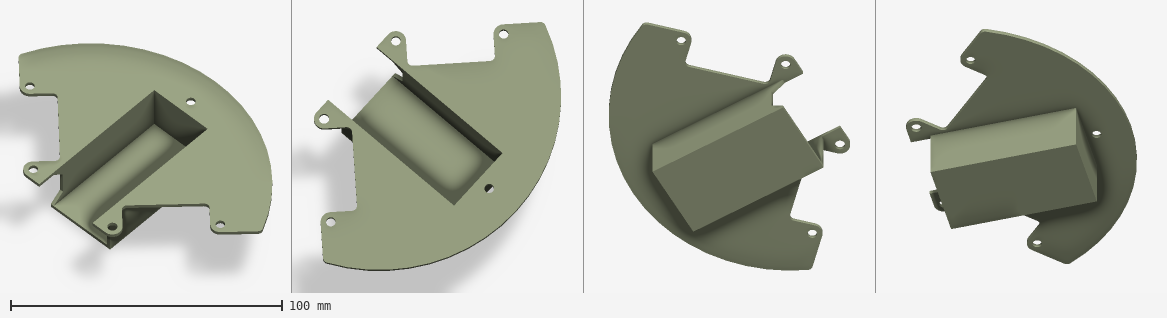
import cadquery as cq
import math

total_height = 21.0
sheet = 1.5
plate_bottom = total_height - sheet

rim_radius = 67.0
depth = 80.24
plate_front = rim_radius - depth
lobe_radius = 3.75
side_hole_x = 48.2
side_hole_y = 18.6
foot_hole_x = 20.0
foot_hole_y = plate_front + lobe_radius
waist_offset = 15.4
inner_corner_radius = 2.0
rim_corner_radius = 2.0

hole_diameter = 3.5
large_hole_diameter = 3.75
top_hole_y = 53.9

tray_inner_width = 27.0
tray_inner_length = 54.0
tray_setback = 7.8
tray_front = plate_front + tray_setback
tray_back = tray_front + tray_inner_length
tray_outer_width = tray_inner_width + 2 * sheet

notch_depth = 5.0
notch_taper = 4.0

lobe_reach = lobe_radius * math.sqrt(2)


def diagonal_crossing(difference, total):
    """Point where the 45 degree lines X - Y = difference and X + Y = total meet."""
    return ((total + difference) / 2, (total - difference) / 2)


def half_plate():
    """+X half of the plate: sharp outline first, then its corners rounded."""
    outer_edge = side_hole_x - side_hole_y + lobe_reach
    lobe_edge = side_hole_x + side_hole_y - lobe_reach
    foot_edge = foot_hole_x + foot_hole_y + lobe_reach

    rim_sum = math.sqrt(2 * rim_radius**2 - outer_edge**2)
    rim_corner = diagonal_crossing(outer_edge, rim_sum)
    rim_middle_angle = (math.pi / 2 + math.atan2(rim_corner[1], rim_corner[0])) / 2
    rim_middle = (
        rim_radius * math.cos(rim_middle_angle),
        rim_radius * math.sin(rim_middle_angle),
    )
    lobe_tip = diagonal_crossing(outer_edge, lobe_edge)
    armpit = diagonal_crossing(waist_offset, lobe_edge)
    waist = diagonal_crossing(waist_offset, foot_edge)
    foot_tip = (foot_edge - plate_front, plate_front)

    plate = (
        cq.Workplane("XY", origin=(0, 0, plate_bottom))
        .moveTo(0, rim_radius)
        .threePointArc(rim_middle, rim_corner)
        .lineTo(*lobe_tip)
        .lineTo(*armpit)
        .lineTo(*waist)
        .lineTo(*foot_tip)
        .lineTo(0, plate_front)
        .close()
        .extrude(sheet)
    )
    rounded_corners = (
        (rim_corner, rim_corner_radius),
        (lobe_tip, lobe_radius),
        (armpit, inner_corner_radius),
        (waist, inner_corner_radius),
        (foot_tip, lobe_radius),
    )
    for corner, radius in rounded_corners:
        nearest = cq.selectors.NearestToPointSelector((*corner, plate_bottom + sheet / 2))
        plate = plate.edges("|Z").edges(nearest).fillet(radius)
    return plate


def tray_block():
    """Solid outer shape of the tray, up to the plate's top face."""
    return cq.Workplane("XY").box(
        tray_outer_width, tray_inner_length + sheet, total_height, centered=(True, False, False)
    ).translate((0, tray_front, 0))


def tray_cavity():
    """Inside of the tray, running out through the front edge of the plate."""
    return cq.Workplane("XY").box(
        tray_inner_width, tray_back - plate_front, total_height - sheet, centered=(True, False, False)
    ).translate((0, plate_front, sheet))


def wall_notch():
    """Trapezoid cut through the -X wall, from the tray floor up to the plate."""
    notch_bottom = sheet
    return (
        cq.Workplane("YZ", origin=(-tray_outer_width / 2, 0, 0))
        .moveTo(tray_front, notch_bottom)
        .lineTo(tray_front + notch_depth, notch_bottom + notch_taper)
        .lineTo(tray_front + notch_depth, plate_bottom - notch_taper)
        .lineTo(tray_front, plate_bottom)
        .close()
        .extrude(sheet)
    )


def screw_holes(centres, diameter):
    """Cutters through the plate at the given centres."""
    return (
        cq.Workplane("XY", origin=(0, 0, plate_bottom))
        .pushPoints(centres)
        .circle(diameter / 2)
        .extrude(sheet)
    )


right_half = half_plate()
plate = right_half.union(right_half.mirror("YZ"))

small_hole_centres = [
    (0, top_hole_y),
    (side_hole_x, side_hole_y),
    (-side_hole_x, side_hole_y),
    (-foot_hole_x, foot_hole_y),
]
large_hole_centres = [(foot_hole_x, foot_hole_y)]

result = (
    plate.union(tray_block())
    .cut(tray_cavity())
    .cut(wall_notch())
    .cut(screw_holes(small_hole_centres, hole_diameter))
    .cut(screw_holes(large_hole_centres, large_hole_diameter))
)